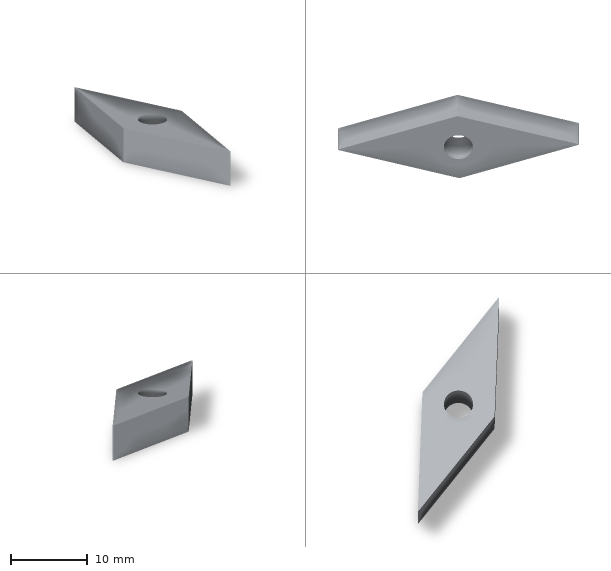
import cadquery as cq
import math

overall_length = 30.0
width = 9.55
thickness = 4.77
hole_diameter = 3.8
nose_angle = math.radians(35)

side = width / math.sin(nose_angle)
sharp_length = side * (1 + math.cos(nose_angle))
half_x = sharp_length / 2
half_y = width / 2

trim_per_nose = (sharp_length - overall_length) / 2
corner_radius = trim_per_nose / (1 / math.tan(nose_angle / 2) - 1)

corners = [
    (-half_x, -half_y),
    (side - half_x, -half_y),
    (half_x, half_y),
    (half_x - side, half_y),
]

body = cq.Workplane("XY").polyline(corners).close().extrude(thickness)
body = body.edges("|Z").fillet(corner_radius)

hole = cq.Workplane("XY").circle(hole_diameter / 2).extrude(thickness)
result = body.cut(hole)